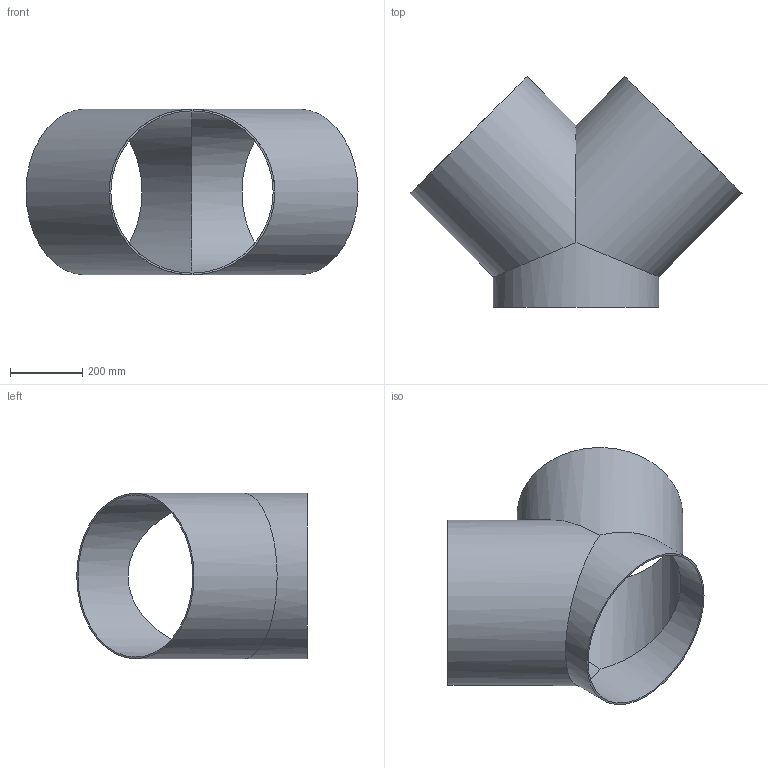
import cadquery as cq
import math

OUTER_DIAMETER = 457.2
INNER_DIAMETER = 447.65
INLET_LENGTH = 177.8
BRANCH_LENGTH = 419.1
BRANCH_ANGLE = 45.0


def axis_direction(tilt):
    """Unit vector in the XY plane, tilted from +Y towards +X by an angle in degrees."""
    angle = math.radians(tilt)
    return cq.Vector(math.sin(angle), math.cos(angle), 0)


def cylinder_from_origin(diameter, length, tilt):
    """Solid cylinder that starts at the origin and follows the tilted axis."""
    solid = cq.Solid.makeCylinder(diameter / 2, length, cq.Vector(0, 0, 0), axis_direction(tilt))
    return cq.Workplane("XY").add(solid)


def wye(diameter):
    """Solid Y shape of one diameter: an inlet towards -Y and two mirrored branches."""
    body = cylinder_from_origin(diameter, INLET_LENGTH, 180)
    for tilt in (-BRANCH_ANGLE, BRANCH_ANGLE):
        body = body.union(cylinder_from_origin(diameter, BRANCH_LENGTH, tilt))
    return body


outer_body = wye(OUTER_DIAMETER)
flow_passage = wye(INNER_DIAMETER)
result = outer_body.cut(flow_passage)